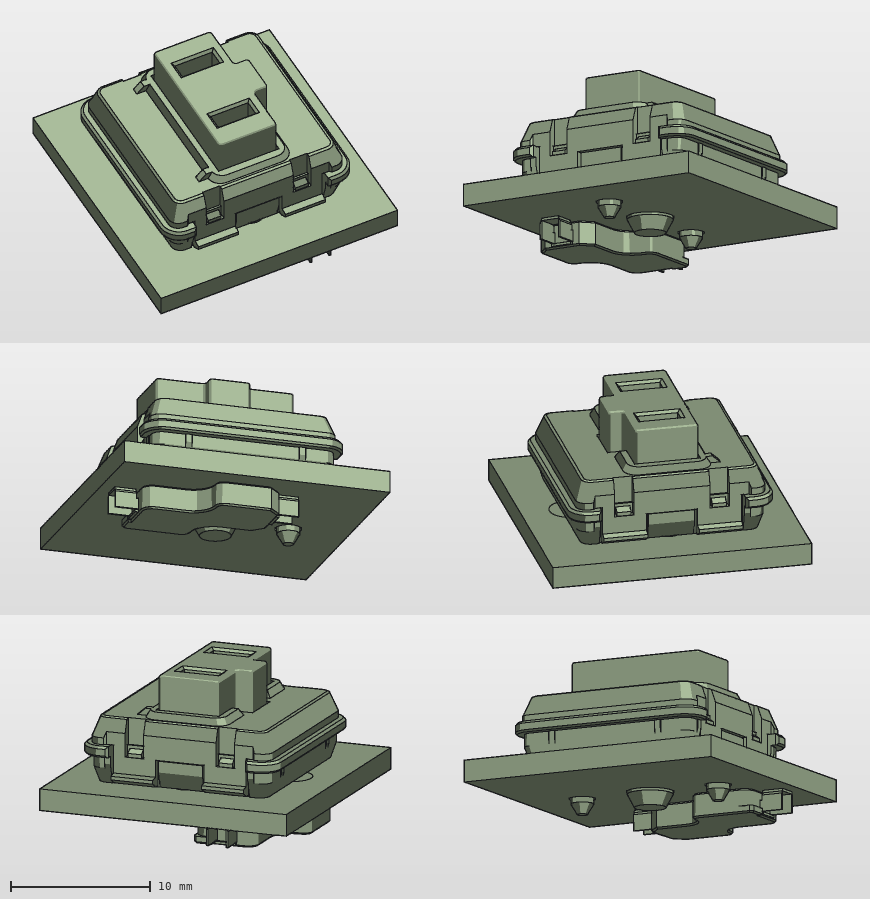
import cadquery as cq
import math


BOARD_X = 20
BOARD_Y = 19
BOARD_T = 1.6
CENTRE_HOLE_D = 3.4
SIDE_HOLE_D = 1.9
BOSS_D = 3
SIDE_PEG_X = 5.5
BOSS_PLACES = [(0, 5.9), (5, 3.8)]

FLOOR_HALF = 6.52
FLOOR_CORNER_R = 0.75
WALL_HALF = 6.95
WALL_R = 0.8
RECESS_Z = 1.15
BODY_TAPER_Z = 1.45
RECESS_HALF = FLOOR_HALF + (WALL_HALF - FLOOR_HALF) * RECESS_Z / BODY_TAPER_Z
RIM_HALF = 7.52
RIM_R = 1.52
RIM_BOTTOM = 2.05
SPLIT_Z = 2.88
RIM_TOP_CHAMFER = 0.18
RIM_BOTTOM_CHAMFER = 0.15
RIM_END_CHAMFER = 0.2
SHOULDER_Z = 3.38
ROOF_HALF = 6.45
ROOF_CORNER_R = 0.7
ROOF_Z = 4.85
ROOF_EDGE_RISE = 0.08
ROOF_EDGE_RUN = 0.2

RIB_X = 4.28
RIB_WIDTH = 0.48
CORNER_RIB_HALF = 5.75

SKIRT_INNER = 6.32
SKIRT_OUTER = 6.78
SKIRT_HALF = 5.1
SKIRT_GAP = 0.18
SIDE_FLAT_HALF = 5.65
SIDE_FLAT_FLARE = 0.15
NOTCH_HALF = 1.88
NOTCH_TOP = 2.08
SNAP_REACH = 7.3
SNAP_TOP_Z = 0.82
SNAP_EDGE_TOP_Z = 0.7
SNAP_EDGE_BOTTOM_Z = 0.45
SNAP_FOOT = 6.65
SKIRT_BOTTOM_Z = 0.05
PAD_OUTER = 6.65

LATCH_Y = 3.5
LATCH_WIDTH = 1.42
LATCH_FLOOR = 6.15
HOOK_WIDTH = 1.05
HOOK_OUTER = 6.72
HOOK_TOP_Z = 2.65
HOOK_EDGE_Z = 2.35

COLLAR_TOP_Z = 5.38
COLLAR_FOOT = (12.15, 6.42, 1)
COLLAR_TOP = (11.72, 5.8, 0.88)
COLLAR_GAP_FOOT_HALF = 2.5
COLLAR_GAP_TOP_HALF = 2.78
COLLAR_RIB_X = 4.85
COLLAR_RIB_WIDTH = 0.55
COLLAR_RIB_TOP_Y = -3.35
COLLAR_RIB_FOOT_Y = -3.95

STEM_X = 10.35
STEM_FRONT_Y = -2.35
STEM_BACK_Y = 2.3
STEM_TOP_Z = 7.9
STEM_EDGE_R = 0.25
STEM_TOP_R = 0.18
KEY_TAB_HALF = 1.55
KEY_TAB_Y = 3.45
STEM_CLEARANCE = 0.1
SLOT_X = 2.8
SLOT_WIDTH = 1.2
SLOT_LENGTH = 3
SLOT_DEPTH = 3
SLOT_LEAD_IN = 0.2

CENTRE_PEG_D = 3.3
CENTRE_PEG_TIP_D = 2.28
CENTRE_PEG_STRAIGHT_Z = -1.78
SIDE_PEG_D = 1.65
SIDE_PEG_TIP_D = 0.75
SIDE_PEG_STRAIGHT_Z = -1.98
PEG_TIP_Z = -2.75

SOCKET_LEFT = -2.32
SOCKET_RIGHT = 7.32
SOCKET_TOP = -1.72
SOCKET_BOTTOM = -3.52
SOCKET_EDGE = 0.12
SOCKET_FRONT = 1.35
SOCKET_STEP_FRONT = 3.7
SOCKET_BACK = 8.25
SOCKET_STEP_BACK = 6
SOCKET_CORNER = 0.85
CURVE_INNER_R = 1.6
STEP_FRONT_X = 0.85
STEP_BACK_X = 4.15
LEDGE_REACH = 0.25
LEDGE_WIDTH = 1.6
LEDGE_TOP = -3.22
CORNER_LEDGE_TOP = -3
CORNER_LEDGE_DEPTH = 1.5

CONTACT_PLACES = [
    (SOCKET_LEFT, BOSS_PLACES[0][1], -1),
    (SOCKET_RIGHT, BOSS_PLACES[1][1], 1),
]
CONTACT_WIDTH = 1.65
CONTACT_LENGTH = 1.6
CONTACT_TOP = -1.65
CONTACT_BOTTOM = -3.18
CONTACT_BEND_Z = -2
CONTACT_BEND_RUN = 0.15
CONTACT_NECK_TOP = -2.35
CONTACT_NECK = 0.15
CONTACT_WALL = 0.15
CONTACT_ROOF = 0.18


def box(x0, x1, y0, y1, z0, z1):
    """Box between two opposite corners."""
    return cq.Workplane().box(x1 - x0, y1 - y0, z1 - z0, centered=False).translate((x0, y0, z0))


def round_prism(size_x, size_y, radius, z0, z1):
    """Upright prism with a rounded rectangular base."""
    block = cq.Workplane().workplane(offset=z0).rect(size_x, size_y).extrude(z1 - z0)
    return block.edges("|Z").fillet(radius)


def round_frustum(foot, top, z0, z1):
    """Taper between two rounded rectangles, each given as (size_x, size_y, corner radius)."""
    lower = cq.Sketch().rect(foot[0], foot[1]).vertices().fillet(foot[2])
    upper = cq.Sketch().rect(top[0], top[1]).vertices().fillet(top[2])
    low_plane = cq.Workplane().workplane(offset=z0)
    raised = upper.moved(cq.Location(cq.Vector(0, 0, z1 - z0)))
    return low_plane.placeSketch(lower, raised).loft(ruled=True)


def square(half, radius):
    """Rounded square described by its half width."""
    return (2 * half, 2 * half, radius)


def side_prism(points, y0, y1):
    """Prism along Y from an outline of (x, z) points."""
    profile = cq.Workplane("XZ").polyline(points).close()
    return profile.extrude(y0 - y1).translate((0, y0, 0))


def plan_prism(points, z0, z1):
    """Upright prism from an outline of (x, y) points."""
    return cq.Workplane().workplane(offset=z0).polyline(points).close().extrude(z1 - z0)


def on_both_x_sides(shape):
    """The shape together with its mirror image across the YZ plane."""
    return shape.union(shape.mirror("YZ"))


def make_board():
    board = box(-BOARD_X / 2, BOARD_X / 2, -BOARD_Y / 2, BOARD_Y / 2, -BOARD_T, 0)
    side_places = [(-SIDE_PEG_X, 0), (SIDE_PEG_X, 0)]
    for diameter, places in (
        (CENTRE_HOLE_D, [(0, 0)]),
        (SIDE_HOLE_D, side_places),
        (BOSS_D, BOSS_PLACES),
    ):
        board = board.cut(cq.Workplane().pushPoints(places).circle(diameter / 2).extrude(-BOARD_T))
    return board


def make_rim():
    rim = round_prism(2 * RIM_HALF, 2 * RIM_HALF, RIM_R, RIM_BOTTOM, SPLIT_Z)
    rim = rim.faces(">Z").chamfer(RIM_TOP_CHAMFER)
    rim = rim.faces("<Z").chamfer(RIM_BOTTOM_CHAMFER)
    opening = SKIRT_HALF + SKIRT_GAP
    flare = opening + RIM_END_CHAMFER
    outline = [
        (WALL_HALF, -opening),
        (RIM_HALF - RIM_END_CHAMFER, -opening),
        (RIM_HALF, -flare),
        (RIM_HALF, flare),
        (RIM_HALF - RIM_END_CHAMFER, opening),
        (WALL_HALF, opening),
    ]
    cutter = plan_prism(outline, RIM_BOTTOM, SPLIT_Z)
    return rim.cut(on_both_x_sides(cutter))


def make_lower_walls():
    floor = square(FLOOR_HALF, FLOOR_CORNER_R)
    recess = round_frustum(floor, square(RECESS_HALF, WALL_R), 0, RECESS_Z)
    recess = recess.union(round_prism(2 * RECESS_HALF, 2 * RECESS_HALF, WALL_R, RECESS_Z, SPLIT_Z))
    full = round_frustum(floor, square(WALL_HALF, WALL_R), 0, BODY_TAPER_Z)
    full = full.union(round_prism(2 * WALL_HALF, 2 * WALL_HALF, WALL_R, BODY_TAPER_Z, SPLIT_Z))
    kept = box(-WALL_HALF, WALL_HALF, -CORNER_RIB_HALF, CORNER_RIB_HALF, 0, SPLIT_Z)
    for rib_x in (-RIB_X, RIB_X):
        left = rib_x - RIB_WIDTH / 2
        kept = kept.union(box(left, left + RIB_WIDTH, -WALL_HALF, WALL_HALF, 0, SPLIT_Z))
    return recess.union(full.intersect(kept))


def make_hook(y):
    outline = [
        (SKIRT_INNER, NOTCH_TOP),
        (HOOK_OUTER, NOTCH_TOP),
        (HOOK_OUTER, HOOK_EDGE_Z),
        (SKIRT_INNER, HOOK_TOP_Z),
    ]
    return side_prism(outline, y - HOOK_WIDTH / 2, y + HOOK_WIDTH / 2)


def make_peg(x, diameter, tip_diameter, straight_z):
    outline = [
        (0, 0),
        (diameter / 2, 0),
        (diameter / 2, straight_z),
        (tip_diameter / 2, PEG_TIP_Z),
        (0, PEG_TIP_Z),
    ]
    peg = cq.Workplane("XZ").polyline(outline).close().revolve(360, (0, 0), (0, 1))
    return peg.translate((x, 0, 0))


def make_lower_housing():
    housing = make_lower_walls().union(make_rim())
    recess_half = SKIRT_HALF + SKIRT_GAP
    skirt_recess = box(SKIRT_INNER, RIM_HALF, -recess_half, recess_half, 0, SPLIT_Z)
    housing = housing.cut(on_both_x_sides(skirt_recess))

    pad_half = NOTCH_HALF - SKIRT_GAP
    pad_outline = [
        (SKIRT_INNER, 0),
        (PAD_OUTER, RECESS_Z),
        (PAD_OUTER, NOTCH_TOP - SKIRT_GAP / 2),
        (SKIRT_INNER, NOTCH_TOP - SKIRT_GAP / 2),
    ]
    housing = housing.union(on_both_x_sides(side_prism(pad_outline, -pad_half, pad_half)))

    for y in (-LATCH_Y, LATCH_Y):
        housing = housing.union(on_both_x_sides(make_hook(y)))

    housing = housing.union(make_peg(0, CENTRE_PEG_D, CENTRE_PEG_TIP_D, CENTRE_PEG_STRAIGHT_Z))
    for x in (-SIDE_PEG_X, SIDE_PEG_X):
        housing = housing.union(make_peg(x, SIDE_PEG_D, SIDE_PEG_TIP_D, SIDE_PEG_STRAIGHT_Z))
    return housing


def make_cover():
    """Closed top of the upper housing, above the split."""
    edge_z = ROOF_Z - ROOF_EDGE_RISE
    shoulder = square(WALL_HALF, WALL_R)
    eaves = square(ROOF_HALF, ROOF_CORNER_R)
    roof = square(ROOF_HALF - ROOF_EDGE_RUN, ROOF_CORNER_R - ROOF_EDGE_RUN)
    cover = round_prism(2 * WALL_HALF, 2 * WALL_HALF, WALL_R, SPLIT_Z, SHOULDER_Z)
    cover = cover.union(round_frustum(shoulder, eaves, SHOULDER_Z, edge_z))
    cover = cover.union(round_frustum(eaves, roof, edge_z, ROOF_Z))
    flat_outline = [
        (SKIRT_OUTER, -SIDE_FLAT_HALF),
        (WALL_HALF, -SIDE_FLAT_HALF - SIDE_FLAT_FLARE),
        (WALL_HALF, SIDE_FLAT_HALF + SIDE_FLAT_FLARE),
        (SKIRT_OUTER, SIDE_FLAT_HALF),
    ]
    side_flat = plan_prism(flat_outline, SPLIT_Z, ROOF_Z)
    return cover.cut(on_both_x_sides(side_flat))


def make_collar():
    collar = round_frustum(COLLAR_FOOT, COLLAR_TOP, ROOF_Z, COLLAR_TOP_Z)
    gap_outline = [
        (-COLLAR_GAP_FOOT_HALF, ROOF_Z),
        (COLLAR_GAP_FOOT_HALF, ROOF_Z),
        (COLLAR_GAP_TOP_HALF, COLLAR_TOP_Z),
        (-COLLAR_GAP_TOP_HALF, COLLAR_TOP_Z),
    ]
    collar = collar.cut(side_prism(gap_outline, 0, COLLAR_FOOT[1] / 2))
    rib_outline = [
        (STEM_FRONT_Y - STEM_CLEARANCE, ROOF_Z),
        (STEM_FRONT_Y - STEM_CLEARANCE, COLLAR_TOP_Z),
        (COLLAR_RIB_TOP_Y, COLLAR_TOP_Z),
        (COLLAR_RIB_FOOT_Y, ROOF_Z),
    ]
    for x in (-COLLAR_RIB_X, COLLAR_RIB_X):
        rib = cq.Workplane("YZ").polyline(rib_outline).close().extrude(COLLAR_RIB_WIDTH)
        collar = collar.union(rib.translate((x - COLLAR_RIB_WIDTH / 2, 0, 0)))
    return collar


def make_skirts():
    """Side skirts whose lower edges carry the outward snap lips."""
    outline = [
        (SKIRT_INNER, SPLIT_Z),
        (SKIRT_OUTER, SPLIT_Z),
        (SKIRT_OUTER, SNAP_TOP_Z),
        (SNAP_REACH, SNAP_EDGE_TOP_Z),
        (SNAP_REACH, SNAP_EDGE_BOTTOM_Z),
        (SNAP_FOOT, SKIRT_BOTTOM_Z),
        (SKIRT_INNER, SKIRT_BOTTOM_Z),
    ]
    skirt = side_prism(outline, -SKIRT_HALF, SKIRT_HALF)
    notch = box(SKIRT_INNER, SNAP_REACH, -NOTCH_HALF, NOTCH_HALF, 0, NOTCH_TOP)
    return on_both_x_sides(skirt.cut(notch))


def stem_plan(clearance, z0, z1):
    """Stem outline with its rear key tab, grown by a clearance."""
    half_x = STEM_X / 2 + clearance
    front = STEM_FRONT_Y - clearance
    back = STEM_BACK_Y + clearance
    tab_half = KEY_TAB_HALF + clearance
    tab_y = KEY_TAB_Y + clearance
    key_tab = box(-tab_half, tab_half, 0, tab_y, z0, z1)
    return box(-half_x, half_x, front, back, z0, z1).union(key_tab)


def make_upper_housing():
    housing = make_cover().union(make_collar()).union(make_skirts())
    housing = housing.cut(stem_plan(STEM_CLEARANCE, SPLIT_Z, COLLAR_TOP_Z))
    for y in (-LATCH_Y, LATCH_Y):
        y0 = y - LATCH_WIDTH / 2
        y1 = y + LATCH_WIDTH / 2
        window = box(LATCH_FLOOR, WALL_HALF, y0, y1, NOTCH_TOP, ROOF_Z)
        housing = housing.cut(on_both_x_sides(window))
    return housing


def make_stem():
    stem = stem_plan(0, SPLIT_Z, STEM_TOP_Z)
    stem = stem.edges("|Z").fillet(STEM_EDGE_R)
    stem = stem.faces(">Z").edges().fillet(STEM_TOP_R)
    for x in (-SLOT_X, SLOT_X):
        top = cq.Workplane(origin=(x, 0, STEM_TOP_Z))
        stem = stem.cut(top.rect(SLOT_WIDTH, SLOT_LENGTH).extrude(-SLOT_DEPTH))
        lead_in = top.rect(SLOT_WIDTH + 2 * SLOT_LEAD_IN, SLOT_LENGTH + 2 * SLOT_LEAD_IN)
        stem = stem.cut(lead_in.extrude(-SLOT_LEAD_IN, taper=45))
    return stem


def make_socket():
    c = SOCKET_CORNER
    diagonal = math.sqrt(0.5)
    front_mid = (STEP_FRONT_X + CURVE_INNER_R, SOCKET_STEP_FRONT - CURVE_INNER_R)
    front_r = front_mid[1] - SOCKET_FRONT
    back_mid = (STEP_BACK_X - CURVE_INNER_R, SOCKET_STEP_BACK + CURVE_INNER_R)
    back_r = SOCKET_BACK - back_mid[1]

    def arc_point(centre, radius, sign):
        return (centre[0] + sign * radius * diagonal, centre[1] + sign * radius * diagonal)

    front_hollow = arc_point((STEP_FRONT_X, front_mid[1]), CURVE_INNER_R, 1)
    front_nose = arc_point((front_mid[0] + front_r, front_mid[1]), front_r, -1)
    back_hollow = arc_point((STEP_BACK_X, back_mid[1]), CURVE_INNER_R, -1)
    back_nose = arc_point((back_mid[0] - back_r, back_mid[1]), back_r, 1)

    body = (
        cq.Workplane()
        .workplane(offset=SOCKET_BOTTOM)
        .moveTo(SOCKET_LEFT + c, SOCKET_STEP_FRONT)
        .lineTo(STEP_FRONT_X, SOCKET_STEP_FRONT)
        .threePointArc(front_hollow, front_mid)
        .threePointArc(front_nose, (front_mid[0] + front_r, SOCKET_FRONT))
        .lineTo(SOCKET_RIGHT - c, SOCKET_FRONT)
        .radiusArc((SOCKET_RIGHT, SOCKET_FRONT + c), -c)
        .lineTo(SOCKET_RIGHT, SOCKET_STEP_BACK - c)
        .radiusArc((SOCKET_RIGHT - c, SOCKET_STEP_BACK), -c)
        .lineTo(STEP_BACK_X, SOCKET_STEP_BACK)
        .threePointArc(back_hollow, back_mid)
        .threePointArc(back_nose, (back_mid[0] - back_r, SOCKET_BACK))
        .lineTo(SOCKET_LEFT + c, SOCKET_BACK)
        .lineTo(SOCKET_LEFT, SOCKET_BACK - c)
        .lineTo(SOCKET_LEFT, SOCKET_STEP_FRONT + c)
        .close()
        .extrude(SOCKET_TOP - SOCKET_BOTTOM)
        .faces("<Z or >Z")
        .chamfer(SOCKET_EDGE)
    )

    corner_ledge = box(
        SOCKET_RIGHT - c - SOCKET_EDGE,
        SOCKET_RIGHT + LEDGE_REACH,
        SOCKET_FRONT,
        SOCKET_FRONT + CORNER_LEDGE_DEPTH,
        SOCKET_BOTTOM,
        CORNER_LEDGE_TOP,
    )
    corner_ledge = corner_ledge.edges("|Z and >X and <Y").chamfer(LEDGE_REACH)
    corner_ledge = corner_ledge.faces("<Z").chamfer(SOCKET_EDGE)
    body = body.union(corner_ledge)

    ledge_z = SOCKET_BOTTOM + SOCKET_EDGE
    for x, y, _ in CONTACT_PLACES:
        y0 = y - LEDGE_WIDTH / 2
        body = body.union(box(x - LEDGE_REACH, x + LEDGE_REACH, y0, y0 + LEDGE_WIDTH, ledge_z, LEDGE_TOP))

    bosses = cq.Workplane().pushPoints(BOSS_PLACES).circle(BOSS_D / 2).extrude(SOCKET_TOP - SOCKET_EDGE)
    return body.union(bosses)


def make_contact(x, y, side):
    """Inverted channel whose neck touches the socket end at x; side is -1 at the left, 1 at the right."""
    half = CONTACT_WIDTH / 2
    outline = [
        (-half, CONTACT_BOTTOM),
        (half, CONTACT_BOTTOM),
        (half, CONTACT_BEND_Z),
        (half - CONTACT_BEND_RUN, CONTACT_TOP),
        (CONTACT_BEND_RUN - half, CONTACT_TOP),
        (-half, CONTACT_BEND_Z),
    ]
    contact = cq.Workplane("YZ").polyline(outline).close().extrude(CONTACT_NECK + CONTACT_LENGTH)
    contact = contact.cut(box(0, CONTACT_NECK, -half, half, CONTACT_NECK_TOP, CONTACT_TOP))
    inner = half - CONTACT_WALL
    channel_top = CONTACT_TOP - CONTACT_ROOF
    channel_end = CONTACT_NECK + CONTACT_LENGTH
    contact = contact.cut(box(0, channel_end, -inner, inner, CONTACT_BOTTOM, channel_top))
    if side < 0:
        contact = contact.mirror("YZ")
    return contact.translate((x, y, 0))


board = make_board()
lower_housing = make_lower_housing()
upper_housing = make_upper_housing()
stem = make_stem()
socket = make_socket()

contacts = [make_contact(*place).solids().val() for place in CONTACT_PLACES]

single_bodies = [board, lower_housing, upper_housing, stem, socket]
result = cq.Compound.makeCompound([*[body.solids().val() for body in single_bodies], *contacts])